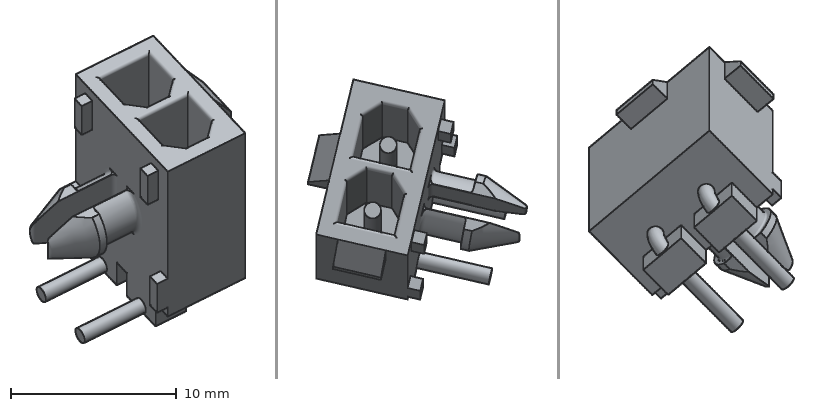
import cadquery as cq
import math


body_width = 9.84
body_depth = 5.68
body_height = 12.71
circuit_pitch = 4.15
circuit_xs = (-circuit_pitch / 2, circuit_pitch / 2)

cavity_size = 3.55
cavity_corner = 0.99
cavity_depth = 9.56
mouth_round = 0.2

latch_width = 2.97
latch_reach = 1.31
latch_ramp_drop = 1.88
latch_tip_drop = 2.57
latch_root_drop = 2.52

rib_width = 0.76
rib_height = 2.53
rib_reach = 0.78
rib_end_margin = 0.8
upper_rib_inset = 1.01

foot_width = 3.09
foot_depth = 2.24
foot_height = 2.0
pin_diameter = 1.01
pin_reach = 4.47
pin_top_drop = 2.94

clip_z = 5.84
clip_height = 3.55
clip_length = 6.02
shaft_radius = 1.94
head_radius = 2.32
head_start = 2.68
head_cone_start = 3.19
tip_radius = 1.12
slot_half_width = 0.76
root_fillet = 0.25
head_fillet = 0.12
tip_round = 0.18


def make_cavity(center_x):
    """Square pocket with both +X corners cut off and a flat floor."""
    half = cavity_size / 2
    flat = half - cavity_corner
    outline = [(-half, -half), (flat, -half), (half, -flat), (half, flat), (flat, half), (-half, half)]
    return (
        cq.Workplane("XY", origin=(center_x, body_depth / 2, body_height - cavity_depth))
        .polyline(outline)
        .close()
        .extrude(cavity_depth)
    )


def make_housing():
    """Box with one open cavity per circuit; every cavity mouth is rounded."""
    housing = cq.Workplane("XY").box(body_width, body_depth, body_height, centered=(True, False, False))
    for x in circuit_xs:
        housing = housing.cut(make_cavity(x))
    mouth_edges = [edge for wire in housing.faces(">Z").val().innerWires() for edge in wire.Edges()]
    return housing.newObject(mouth_edges).fillet(mouth_round)


def make_latch(plane):
    """Ramp in the plane's local frame: local x points away from the wall, local y points up."""
    return (
        cq.Workplane(plane)
        .polyline(
            [
                (0, 0),
                (latch_reach, -latch_ramp_drop),
                (latch_reach, -latch_tip_drop),
                (0, -latch_root_drop),
            ]
        )
        .close()
        .extrude(latch_width / 2, both=True)
    )


def make_ribs():
    upper_x = body_width / 2 - upper_rib_inset - rib_width / 2
    lower_x = body_width / 2 - rib_width / 2
    lower_z = rib_end_margin + rib_height / 2
    upper_z = body_height - lower_z
    centers = [(side * x, z) for x, z in ((upper_x, upper_z), (lower_x, lower_z)) for side in (-1, 1)]
    return cq.Workplane("XZ").pushPoints(centers).rect(rib_width, rib_height).extrude(rib_reach)


def make_foot(center_x):
    return (
        cq.Workplane("XY", origin=(center_x, 0, -foot_height))
        .box(foot_width, foot_depth, foot_height, centered=(True, False, False))
    )


def make_pin(center_x):
    """Round pin from inside the cavity, bent under the housing and out past the board-side wall."""
    radius = pin_diameter / 2
    pin_y = body_depth / 2
    pin_top = body_height - pin_top_drop
    pin_z = radius - foot_height
    bend_radius = -pin_z
    bend_mid_y = pin_y - bend_radius * (1 - math.cos(math.pi / 4))
    bend_mid_z = -bend_radius * math.sin(math.pi / 4)
    path = (
        cq.Workplane("YZ", origin=(center_x, 0, 0))
        .moveTo(pin_y, pin_top)
        .lineTo(pin_y, 0)
        .threePointArc((bend_mid_y, bend_mid_z), (pin_y - bend_radius, pin_z))
        .lineTo(-pin_reach, pin_z)
    )
    section = cq.Workplane("XY", origin=(center_x, pin_y, pin_top)).circle(radius)
    return section.sweep(path)


def make_clip():
    """Barbed round clip with flat top and bottom, split into two prongs."""
    turned = (
        cq.Workplane("XY")
        .moveTo(0, 0)
        .lineTo(shaft_radius + root_fillet, 0)
        .radiusArc((shaft_radius, -root_fillet), -root_fillet)
        .lineTo(shaft_radius, head_fillet - head_start)
        .radiusArc((shaft_radius + head_fillet, -head_start), -head_fillet)
        .lineTo(head_radius, -head_start)
        .lineTo(head_radius, -head_cone_start)
        .lineTo(tip_radius, -clip_length)
        .lineTo(0, -clip_length)
        .close()
        .revolve(360, (0, 0, 0), (0, 1, 0))
        .faces("<Y")
        .edges()
        .fillet(tip_round)
    )
    flats = cq.Workplane("XZ").rect(2 * head_radius, clip_height).extrude(clip_length)

    root_half_width = slot_half_width - root_fillet
    mouth_half_width = slot_half_width + tip_round
    slot = (
        cq.Workplane("XY")
        .moveTo(0, 0)
        .lineTo(root_half_width, 0)
        .radiusArc((slot_half_width, -root_fillet), root_fillet)
        .lineTo(slot_half_width, tip_round - clip_length)
        .radiusArc((mouth_half_width, -clip_length), -tip_round)
        .lineTo(0, -clip_length)
        .mirrorY()
        .extrude(clip_height, both=True)
    )
    return turned.intersect(flats).cut(slot).translate((0, 0, clip_z))


side_latch_plane = cq.Plane(
    origin=(-body_width / 2, body_depth / 2, body_height), xDir=(-1, 0, 0), normal=(0, 1, 0)
)
rear_latch_plane = cq.Plane(origin=(0, body_depth, body_height), xDir=(0, 1, 0), normal=(1, 0, 0))

result = make_housing()
result = result.union(make_latch(side_latch_plane))
result = result.union(make_latch(rear_latch_plane))
result = result.union(make_ribs())
for circuit_x in circuit_xs:
    result = result.union(make_foot(circuit_x))
    result = result.union(make_pin(circuit_x))
result = result.union(make_clip())